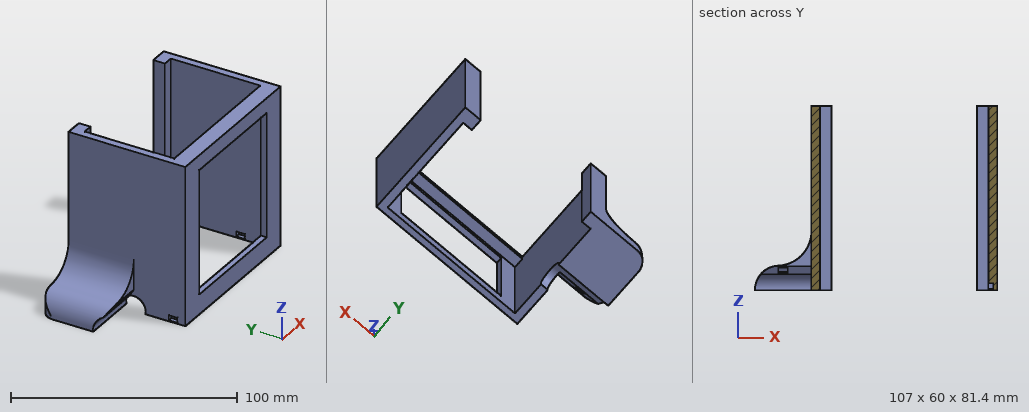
import cadquery as cq
import math

overall_width = 107.0
clip_reach = 24.9
frame_width = overall_width - clip_reach
frame_depth = 60.0
frame_height = 81.4
front_wall = 8.0
window_plate = 3.0
recess_top = 77.7
side_wall = 4.0
lip_width = 9.0
lip_thickness = 6.0

window_margin = 12.0
window_bottom = 10.3
window_top_margin = 7.6

tip_radius = 11.0
cove_radius = 15.0
clip_length = 33.5
clip_corner_radius = 7.0
clip_front = frame_depth - clip_length
bevel_top = 10.7
bevel_bottom = 7.1
bevel_run = 2.2

groove_radius = 6.1
groove_top = 7.5

pocket_length = 4.3
pocket_height = 2.5
bevel_pocket_height = 2.7
bevel_pocket_depth = 0.7
pocket_depth = 2.1
wall_pocket_bottom = 0.6
left_pocket_front = 4.2
right_pocket_front = 16.0
bevel_pocket_from_tip = 10.3


def box(x0, x1, y0, y1, z0, z1):
    """Box between pairs of X, Y and Z limits."""
    return cq.Workplane("XY").box(x1 - x0, y1 - y0, z1 - z0, centered=False).translate((x0, y0, z0))


def make_frame():
    """Channel open to the back, with two inward lips and a front window."""
    channel = box(0, frame_width, 0, frame_depth, 0, frame_height)
    cavity = box(side_wall, frame_width - side_wall, front_wall, frame_depth - lip_thickness,
                 0, frame_height)
    back_opening = box(lip_width, frame_width - lip_width, front_wall, frame_depth, 0, frame_height)
    window = box(window_margin, frame_width - window_margin, 0, front_wall,
                 window_bottom, frame_height - window_top_margin)
    recess = box(side_wall, frame_width - side_wall, window_plate, front_wall, 0, recess_top)
    return channel.cut(cavity).cut(back_opening).cut(window).cut(recess)


def make_clip():
    """S-shaped clip: a round tip running tangent into a cove against the wall."""
    tip_center = (tip_radius - clip_reach, 0)
    cove_center_x = -cove_radius
    center_run = cove_center_x - tip_center[0]
    center_rise = math.sqrt((tip_radius + cove_radius) ** 2 - center_run ** 2)
    share = tip_radius / (tip_radius + cove_radius)
    joint = (tip_center[0] + share * center_run, share * center_rise)
    clip = (
        cq.Workplane("XZ", origin=(0, frame_depth, 0))
        .moveTo(-clip_reach, 0)
        .radiusArc(joint, tip_radius)
        .radiusArc((0, center_rise), -cove_radius)
        .lineTo(side_wall, center_rise)
        .lineTo(side_wall, 0)
        .close()
        .extrude(clip_length)
    )
    corner_mask = (
        box(-clip_reach, side_wall, clip_front, frame_depth, 0, center_rise)
        .edges("|Z and <X and >Y")
        .fillet(clip_corner_radius)
    )
    bevel = (
        cq.Workplane("YZ", origin=(-clip_reach, 0, 0))
        .polyline([(clip_front, bevel_top), (clip_front + bevel_run, bevel_bottom),
                   (clip_front, bevel_bottom)])
        .close()
        .extrude(clip_reach)
    )
    return clip.intersect(corner_mask).cut(bevel)


def make_groove():
    """Round cutter centred on the front face of the clip."""
    return (
        cq.Workplane("YZ", origin=(-clip_reach, clip_front, groove_top - groove_radius))
        .circle(groove_radius)
        .extrude(clip_reach + side_wall)
    )


def make_pockets():
    """Pockets in the left wall outside, the right wall inside and the clip bevel."""
    wall_pocket_top = wall_pocket_bottom + pocket_height
    left = box(0, pocket_depth, left_pocket_front, left_pocket_front + pocket_length,
               wall_pocket_bottom, wall_pocket_top)
    right_face = frame_width - side_wall
    right = box(right_face, right_face + pocket_depth,
                right_pocket_front, right_pocket_front + pocket_length,
                wall_pocket_bottom, wall_pocket_top)
    bevel_tilt = math.degrees(math.atan2(bevel_run, bevel_top - bevel_bottom))
    on_bevel = (
        cq.Workplane("XY")
        .box(pocket_length, 2 * bevel_pocket_depth, bevel_pocket_height)
        .rotate((0, 0, 0), (1, 0, 0), bevel_tilt)
        .translate((bevel_pocket_from_tip + pocket_length / 2 - clip_reach,
                    clip_front + bevel_run / 2, (bevel_top + bevel_bottom) / 2))
    )
    return left.union(right).union(on_bevel)


result = make_frame().union(make_clip()).cut(make_groove()).cut(make_pockets())